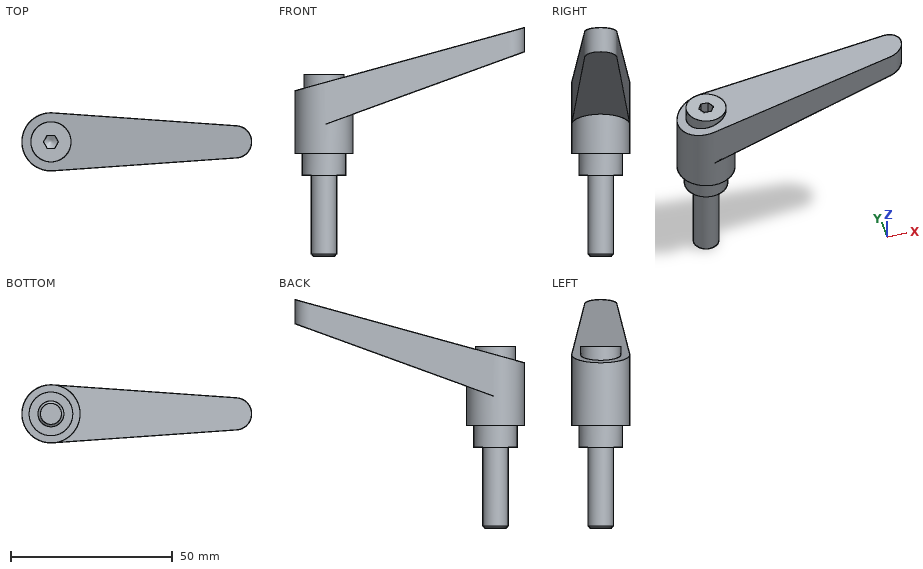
import cadquery as cq
import math

STUD_DIAMETER = 8.0
STUD_LENGTH = 25.0
STUD_CHAMFER = 0.75

COLLAR_DIAMETER = 13.5
COLLAR_HEIGHT = 6.7

HUB_DIAMETER = 18.0
HUB_RADIUS = HUB_DIAMETER / 2

HEAD_DIAMETER = 12.4
HEAD_TOP = 31.15

SOCKET_ACROSS_FLATS = 4.0
SOCKET_SIDES = 6
SOCKET_DEPTH = 4.0
SOCKET_CONE_ANGLE = 120.0

TIP_RADIUS = 5.0
TIP_CENTER_X = 57.0
TIP_END_X = TIP_CENTER_X + TIP_RADIUS

ARM_TIP_TOP = 45.66
ARM_TIP_THICKNESS = 7.5
ARM_TOP_ANGLE = 15.4
ARM_BOTTOM_ANGLE = 20.0


def cylinder(diameter, bottom, top):
    """Round body on the Z axis between two heights."""
    return cq.Workplane("XY").workplane(offset=bottom).circle(diameter / 2).extrude(top - bottom)


def arm_top_height(x):
    """Height of the sloping top face at a given x."""
    return ARM_TIP_TOP - (TIP_END_X - x) * math.tan(math.radians(ARM_TOP_ANGLE))


def arm_bottom_height(x):
    """Height of the sloping bottom face at a given x."""
    tip_bottom = ARM_TIP_TOP - ARM_TIP_THICKNESS
    return tip_bottom - (TIP_END_X - x) * math.tan(math.radians(ARM_BOTTOM_ANGLE))


def side_profile(points):
    """Polygon in the XZ plane extruded across the full width of the hub."""
    return cq.Workplane("XZ").polyline(points).close().extrude(HUB_RADIUS, both=True)


def make_hub():
    """Cylinder whose top is cut along the arm's top slope."""
    blank = cylinder(HUB_DIAMETER, COLLAR_HEIGHT, arm_top_height(HUB_RADIUS))
    below_slope = side_profile([
        (-HUB_RADIUS, COLLAR_HEIGHT),
        (HUB_RADIUS, COLLAR_HEIGHT),
        (HUB_RADIUS, arm_top_height(HUB_RADIUS)),
        (-HUB_RADIUS, arm_top_height(-HUB_RADIUS)),
    ])
    return blank.intersect(below_slope)


def make_arm():
    """Tapered lever: sides tangent to hub and tip circles, bounded by two slopes."""
    taper_sine = (HUB_RADIUS - TIP_RADIUS) / TIP_CENTER_X
    taper_cosine = math.sqrt(1 - taper_sine ** 2)
    root_x = HUB_RADIUS * taper_sine
    root_y = HUB_RADIUS * taper_cosine
    tip_x = TIP_CENTER_X + TIP_RADIUS * taper_sine
    tip_y = TIP_RADIUS * taper_cosine

    plan = (
        cq.Workplane("XY")
        .moveTo(root_x, -root_y)
        .lineTo(tip_x, -tip_y)
        .threePointArc((TIP_END_X, 0), (tip_x, tip_y))
        .lineTo(root_x, root_y)
        .close()
        .extrude(ARM_TIP_TOP)
    )
    between_slopes = side_profile([
        (root_x, arm_bottom_height(root_x)),
        (TIP_END_X, arm_bottom_height(TIP_END_X)),
        (TIP_END_X, arm_top_height(TIP_END_X)),
        (root_x, arm_top_height(root_x)),
    ])
    return plan.intersect(between_slopes)


def make_stud():
    """Plain stud with a chamfered lower end."""
    return cylinder(STUD_DIAMETER, -STUD_LENGTH, 0).faces("<Z").chamfer(STUD_CHAMFER)


def make_socket():
    """Hexagon socket, corners on the X axis, ending in a cone through its corners."""
    across_corners = SOCKET_ACROSS_FLATS / math.cos(math.pi / SOCKET_SIDES)
    corner_radius = across_corners / 2
    cone_depth = corner_radius / math.tan(math.radians(SOCKET_CONE_ANGLE / 2))
    depth = SOCKET_DEPTH + cone_depth
    head_face = cq.Workplane("XY").workplane(offset=HEAD_TOP)
    hexagon = head_face.polygon(SOCKET_SIDES, across_corners).extrude(-depth)
    cone = cq.Workplane(cq.Solid.makeCone(
        corner_radius, 0, cone_depth, cq.Vector(0, 0, HEAD_TOP - SOCKET_DEPTH), cq.Vector(0, 0, -1)
    ))
    shaft = cylinder(across_corners, HEAD_TOP - SOCKET_DEPTH, HEAD_TOP)
    return hexagon.intersect(shaft.union(cone))


collar = cylinder(COLLAR_DIAMETER, 0, COLLAR_HEIGHT)
head = cylinder(HEAD_DIAMETER, COLLAR_HEIGHT, HEAD_TOP)

result = make_hub().union(make_arm()).union(collar).union(head).union(make_stud()).cut(make_socket())